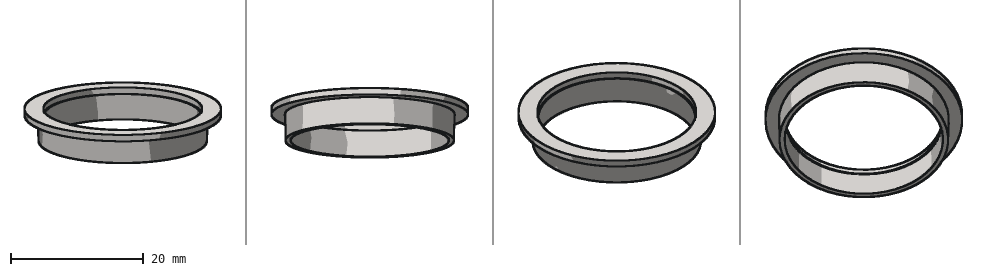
import cadquery as cq

flange_diameter = 29.6
total_height = 5.0
flange_thickness = 1.0
sleeve_top_diameter = 25.57
sleeve_bottom_diameter = 25.37
recess_diameter = 23.9
bore_top_diameter = 23.6
bore_bottom_diameter = 23.8

flange_base = total_height - flange_thickness


def tapered_disc(bottom_diameter, top_diameter):
    """Cone frustum from the bottom of the part up to the flange."""
    return (
        cq.Workplane("XY")
        .circle(bottom_diameter / 2)
        .workplane(offset=flange_base)
        .circle(top_diameter / 2)
        .loft(ruled=True)
    )


sleeve = tapered_disc(sleeve_bottom_diameter, sleeve_top_diameter).cut(
    tapered_disc(bore_bottom_diameter, bore_top_diameter)
)

flange = (
    cq.Workplane("XY", origin=(0, 0, flange_base))
    .circle(flange_diameter / 2)
    .circle(recess_diameter / 2)
    .extrude(flange_thickness)
)

result = sleeve.union(flange)